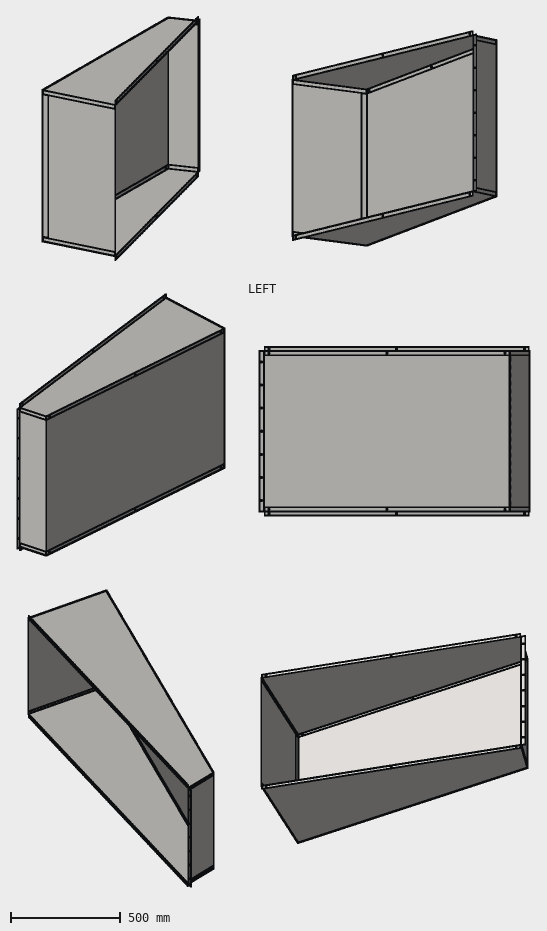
import cadquery as cq
import math

sheet = 1.5
height = 732.0
end_wall_width = 146.0
depth = 380.47
deep_corner_y = -1122.4
front_end_y = -1211.9

wall_flange_width = 20.0
tray_flange_width = 19.0
lip_width = 20.0
front_flange_width = 30.0
corner_gap = 2.0

hole_diameter = 5.0
hole_edge_distance = 10.0
hole_end_distance = 20.0
tray_hole_count = 3
wall_hole_count = 7
wall_hole_end_distance = 50.0

half_height = height / 2
slope_angle = math.atan2(depth - end_wall_width, -deep_corner_y)
front_angle = math.atan2(deep_corner_y - front_end_y, depth)
hole_radius = hole_diameter / 2



def wall_corner(inset):
    """Where the end wall meets the sloped back."""
    y = -inset
    x = -end_wall_width + inset / math.cos(slope_angle) + y * math.tan(slope_angle)
    return (x, y)


def deep_corner(slope_inset, front_inset):
    """Where the sloped back meets the front panel."""
    slope_x = -end_wall_width + slope_inset / math.cos(slope_angle)
    _, front_y = front_end(front_inset)
    slope_tan = math.tan(slope_angle)
    front_tan = math.tan(front_angle)
    y = (front_y - front_tan * slope_x) / (1 + front_tan * slope_tan)
    return (slope_x + slope_tan * y, y)


def front_end(inset):
    """Where the front panel meets the mounting plane."""
    return (0, front_end_y + inset / math.cos(front_angle))


def prism(points, bottom, top):
    """Upright prism on a plan outline."""
    return cq.Workplane("XY").workplane(offset=bottom).polyline(points).close().extrude(top - bottom)


def strip(start, end, start_trim, end_trim):
    """Plan outline of a sheet along start-end, its thickness to the left of that direction."""
    start = cq.Vector(*start)
    end = cq.Vector(*end)
    along = (end - start).normalized()
    across = cq.Vector(-along.y, along.x) * sheet
    first = start + along * start_trim
    last = end - along * end_trim
    return [(p.x, p.y) for p in (first, last, last + across, first + across)]


def spaced(first, last, count):
    """Evenly spaced values from first to last."""
    return [first + (last - first) * i / (count - 1) for i in range(count)]


def mounting_holes(centres):
    """Cutters along X through the mounting flanges, at (y, z) centres."""
    return cq.Workplane("YZ").pushPoints(centres).circle(hole_radius).extrude(-sheet)


def slope_holes():
    """Cutters square to the sloped back, through it and the tray lips behind it."""
    start = cq.Vector(*wall_corner(sheet))
    end = cq.Vector(*deep_corner(sheet, sheet))
    along = (end - start).normalized()
    outward = cq.Vector(along.y, -along.x)
    inset = corner_gap + hole_end_distance
    hole_z = half_height - hole_edge_distance
    cutters = cq.Workplane("XY")
    for distance in spaced(inset, (end - start).Length - inset, tray_hole_count):
        for z in (-hole_z, hole_z):
            inner_end = start + along * distance - outward * 2 * sheet + cq.Vector(0, 0, z)
            cutters = cutters.add(cq.Solid.makeCylinder(hole_radius, 4 * sheet, inner_end, outward))
    return cutters.combine()



def make_upper_tray():
    corners = [(0, -sheet), wall_corner(sheet), deep_corner(sheet, sheet), front_end(sheet)]
    tray = prism(corners, half_height - sheet, half_height)
    for start, end in zip(corners, corners[1:]):
        lip = strip(start, end, corner_gap, corner_gap)
        tray = tray.union(prism(lip, half_height - lip_width, half_height))

    flange_top = half_height + tray_flange_width
    flange = strip(corners[-1], corners[0], corner_gap, corner_gap)
    tray = tray.union(prism(flange, half_height - sheet, flange_top))

    hole_inset = corner_gap + hole_end_distance
    hole_ys = spaced(corners[0][1] - hole_inset, corners[-1][1] + hole_inset, tray_hole_count)
    hole_z = flange_top - hole_edge_distance
    return tray.cut(mounting_holes([(y, hole_z) for y in hole_ys])).cut(slope_holes())



def make_back():
    front_inset = 2 * sheet
    outer_front = deep_corner(0, front_inset)
    section = [
        (0, wall_flange_width),
        (0, -sheet),
        wall_corner(sheet),
        deep_corner(sheet, front_inset),
        outer_front,
        wall_corner(0),
        (-sheet, 0),
        (-sheet, wall_flange_width),
    ]
    back = prism(section, -half_height, half_height)

    fold_length = math.dist(outer_front, front_end(front_inset))
    fold = strip(outer_front, front_end(front_inset), 0, fold_length - front_flange_width)
    fold_top = half_height - lip_width - corner_gap
    back = back.union(prism(fold, -fold_top, fold_top))

    last_hole_z = half_height - wall_hole_end_distance
    hole_y = wall_flange_width - hole_edge_distance
    hole_zs = spaced(-last_hole_z, last_hole_z, wall_hole_count)
    return back.cut(mounting_holes([(hole_y, z) for z in hole_zs])).cut(slope_holes())



def make_front_panel():
    section = [deep_corner(0, 0), front_end(0), front_end(sheet), deep_corner(0, sheet)]
    return prism(section, -half_height, half_height)


upper_tray = make_upper_tray()
lower_tray = upper_tray.mirror("XY")
back = make_back()
front_panel = make_front_panel()

bodies = [upper_tray, lower_tray, back, front_panel]
result = cq.Compound.makeCompound([body.solids().val() for body in bodies])